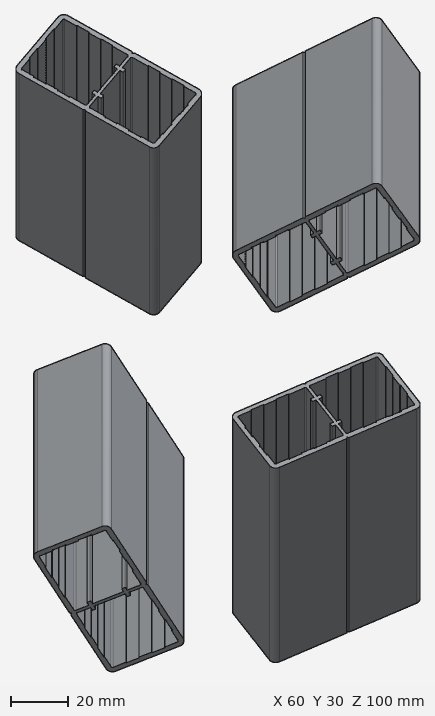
import cadquery as cq

width = 60.0
depth = 30.0
height = 100.0
corner_radius = 2.5
wall = 2.0

web_thickness = 1.2
lug_length = 4.0
lug_thickness = 1.5
lug_edge_radius = 0.2
lug_outer_face = 7.5

cell_corner_radius = 0.5

flute_width = 5.0
flute_depth = 0.3
flute_pitch = 10.0

groove_width = 1.0
groove_depth = 0.5

lug_offset = lug_outer_face - lug_thickness / 2
cell_width = (width - web_thickness) / 2 - wall
cell_depth = depth - 2 * wall
cell_offset = (web_thickness + cell_width) / 2


def prism(size_x, size_y, x=0.0, y=0.0):
    """Full-height rectangular bar centred on (x, y)."""
    return cq.Workplane("XY").center(x, y).rect(size_x, size_y).extrude(height)


def flutes(side):
    """Flutes cut into the three outer walls of the cell on one side (-1 or +1)."""
    bar = 2 * flute_depth
    flute_middle_x = side * width / 4
    cuts = cq.Workplane("XY")
    for step in (-0.5, 0.5):
        along = step * flute_pitch
        cuts = cuts.add(prism(bar, flute_width, side * (width / 2 - wall), along))
        for face in (-1, 1):
            inner_face_y = face * cell_depth / 2
            cuts = cuts.add(prism(flute_width, bar, flute_middle_x + along, inner_face_y))
    return cuts.combine()


def groove(face):
    """V-groove on the broad face at -Y (-1) or +Y (+1)."""
    surface_y = face * depth / 2
    corners = [
        (-groove_width / 2, surface_y),
        (groove_width / 2, surface_y),
        (0, surface_y - face * groove_depth),
    ]
    return cq.Workplane("XY").polyline(corners).close().extrude(height)


body = prism(width, depth).edges("|Z").fillet(corner_radius)

for side in (-1, 1):
    cell = prism(cell_width, cell_depth, side * cell_offset).edges("|Z").fillet(cell_corner_radius)
    body = body.cut(cell).cut(flutes(side))

for face in (-1, 1):
    body = body.cut(groove(face))
    lug = prism(lug_length, lug_thickness, y=face * lug_offset).edges("|Z").fillet(lug_edge_radius)
    body = body.union(lug)

result = body